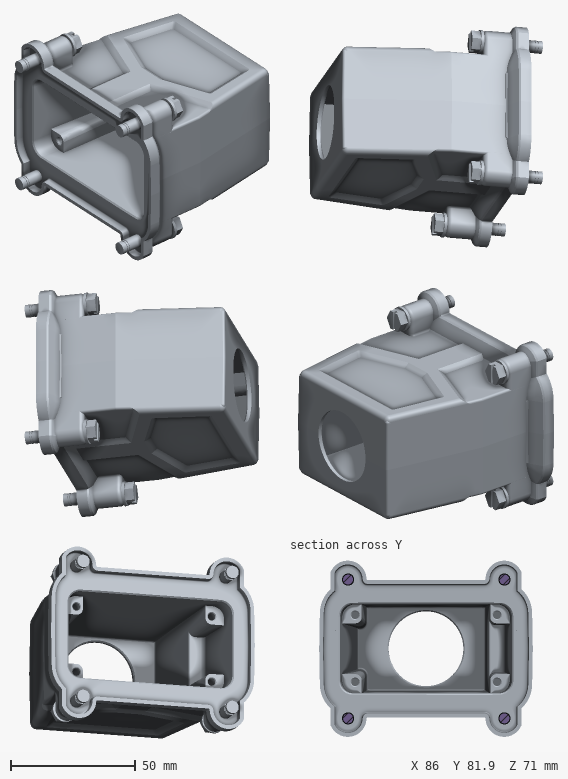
import cadquery as cq
import math


BODY_HALF_X = 36.5
BACK_HALF_X = 28.6
BACK_Y = 75.0
SHOULDER_Y = 31.5
BODY_START_Y = 5.2
RAISED_Z = 23.1
LOWERED_Z = 21.5
DRAFT = 1.0
RAISED_FILLET = 2.2
LOWERED_FILLET = 1.0
BEVEL = 2.6
BEVEL_ANGLE = math.degrees(math.atan(BEVEL / (RAISED_Z - LOWERED_Z)))
PANEL_SLOPE = math.radians(20.8)

STEM_HALF_X = 6.0
STEM_TOP_Y = 30.4
REGION_HALF_X = 47.3
REGION_BACK_Y = 86.0

PANEL_BACK_Y = 68.1
PANEL_BACK_HALF_X = 23.7
PANEL_SHOULDER_Y = 44.2
PANEL_SHOULDER_HALF_X = 27.5
PANEL_FRONT_Y = 35.7
PANEL_FRONT_HALF_X = 5.9
PANEL_CORNER = 2.1

FLANGE_HALF_X = 43.0
FLANGE_SIDE_X = 42.75
FLANGE_HALF_Z = 27.6
FLANGE_CORNER = 13.4
FLANGE_SIDE_Y = 4.4
FLANGE_BEVEL_H = 0.8
FLANGE_BEVEL_ANGLE = 30.0
FLANGE_SLOPE = 30.0
FLANGE_TOP_Y = 8.95
ROOT_BEVEL_W = 0.5
ROOT_BEVEL_H = 1.0
ROOT_BEVEL_Y = 8.1
LOBE_R = 7.53
LOBE_SIDE_X = 38.4
RIM = 1.55
RECESS_Y = 3.0
RECESS_DRAFT = 5.0
RECESS_FILLET = 0.4
NECK_FILLET = 0.6

SCREW_X = 31.5
SCREW_Z = 27.95
TOWER_R = 5.0
TOWER_Y = 18.0
TOWER_FILLET = 1.9
TOWER_ROOT = 0.95
WASHER_R = 5.0
WASHER_T = 1.1
HEAD_FLATS = 7.9
HEAD_H = 3.6
SLOT_W = 1.4
SLOT_DEPTH = 1.55
SHANK_R = 2.6
SHANK_END_Y = -6.9
GROOVE_YS = [-3.8, -4.8]
GROOVE_W = 0.4
GROOVE_DEPTH = 0.3

CAVITY_FLOOR_Y = 72.85
CAVITY_MOUTH_X = 34.7
CAVITY_FLOOR_X = 27.5
CAVITY_MOUTH_Z = 18.0
CAVITY_FLOOR_Z = 16.95
CAVITY_CORNER = 5.2
CAVITY_FLOOR_FILLET = 0.7
MOUTH_CHAMFER = 0.5
HOLE_R = 15.05
HOLE_CHAMFER = 0.5

POST_Y = 11.7
POST_TOP_X = 25.9
POST_FLOOR_X = 23.9
POST_TOP_Z = 10.2
POST_FLOOR_Z = 8.25
POST_FILLET = 2.6
POST_HOLE_X = 28.55
POST_HOLE_Z = 13.5
POST_HOLE_R = 1.55
POST_HOLE_CHAMFER = 0.35
POST_HOLE_DEPTH = 12.0
SHELF_Y = 31.8
SHELF_ROOT_FILLET = 1.9
SHELF_EDGE_FILLET = 0.9


def facing_back(y):
    """Workplane at height y whose normal is +Y; its local y axis is -Z."""
    return cq.Workplane(cq.Plane(origin=(0, y, 0), xDir=(1, 0, 0), normal=(0, 1, 0)))


def mirrored_z(solid):
    return solid.union(solid.mirror("XY"))


def at_quadrants(solid):
    """Copies a solid built at +X, +Z to all four quadrants."""
    both = solid.union(solid.mirror("YZ"))
    return both.union(both.mirror("XY"))


def body_outline():
    right = [(BODY_HALF_X, BODY_START_Y), (BODY_HALF_X, SHOULDER_Y), (BACK_HALF_X, BACK_Y)]
    left = [(-x, y) for x, y in reversed(right)]
    return right + left


def body_half(height, fillet):
    half = cq.Workplane("XY").polyline(body_outline()).close().extrude(height, taper=DRAFT)
    corners = half.edges(cq.selectors.BoxSelector(
        (-BODY_HALF_X, BACK_Y - 2.6, 0.9), (BODY_HALF_X, BACK_Y + 0.9, height - 0.9)))
    rims = half.faces(">Z").edges("not <Y")
    return half.newObject(corners.vals() + rims.vals()).fillet(fillet)


def raised_region():
    arm_y = STEM_TOP_Y + (REGION_HALF_X - STEM_HALF_X) * math.tan(PANEL_SLOPE)
    right = [(STEM_HALF_X, -BEVEL), (STEM_HALF_X, STEM_TOP_Y), (REGION_HALF_X, arm_y),
             (REGION_HALF_X, REGION_BACK_Y)]
    left = [(-x, y) for x, y in reversed(right)]
    depth = RAISED_Z - LOWERED_Z
    return (cq.Workplane("XY", origin=(0, 0, RAISED_Z)).polyline(right + left).close()
            .extrude(-2 * depth, taper=-BEVEL_ANGLE))


def sunk_panel():
    right = [(PANEL_FRONT_HALF_X, PANEL_FRONT_Y), (PANEL_SHOULDER_HALF_X, PANEL_SHOULDER_Y),
             (PANEL_BACK_HALF_X, PANEL_BACK_Y)]
    left = [(-x, y) for x, y in reversed(right)]
    pocket = (cq.Workplane("XY", origin=(0, 0, RAISED_Z)).polyline(right + left).close()
              .extrude(LOWERED_Z - RAISED_Z, taper=BEVEL_ANGLE))
    outer_corners = pocket.edges("not #Z").filter(lambda e: abs(e.Center().x) > 2 * PANEL_FRONT_HALF_X)
    return outer_corners.fillet(PANEL_CORNER)


def body():
    raised = body_half(RAISED_Z, RAISED_FILLET).intersect(raised_region()).cut(sunk_panel())
    lowered = body_half(LOWERED_Z, LOWERED_FILLET)
    return mirrored_z(lowered.union(raised).cut(sunk_panel()))


def plate_outline(y, inset=0.0):
    end_x = FLANGE_HALF_X - inset
    side_x = FLANGE_SIDE_X - inset
    half_z = FLANGE_HALF_Z - inset
    side_z = FLANGE_HALF_Z - FLANGE_CORNER
    top_x = FLANGE_SIDE_X - FLANGE_CORNER
    diagonal = (FLANGE_CORNER - inset) * math.sqrt(0.5)
    mid_x = top_x + diagonal
    mid_z = side_z + diagonal
    return (facing_back(y).moveTo(end_x, 0).lineTo(side_x, side_z)
            .threePointArc((mid_x, mid_z), (top_x, half_z))
            .lineTo(-top_x, half_z)
            .threePointArc((-mid_x, mid_z), (-side_x, side_z))
            .lineTo(-end_x, 0).lineTo(-side_x, -side_z)
            .threePointArc((-mid_x, -mid_z), (-top_x, -half_z))
            .lineTo(top_x, -half_z)
            .threePointArc((mid_x, -mid_z), (side_x, -side_z)).close())


def lobe_outline(y, inset=0.0):
    """Outline around the +X, +Z screw."""
    radius = LOBE_R - inset
    side_x = LOBE_SIDE_X - inset
    inner_x = SCREW_X - radius
    root_z = FLANGE_HALF_Z - FLANGE_CORNER
    side_z = SCREW_Z + math.sqrt(radius**2 - (side_x - SCREW_X)**2)
    return (facing_back(y).moveTo(side_x, -root_z).lineTo(side_x, -side_z)
            .threePointArc((SCREW_X, -SCREW_Z - radius), (inner_x, -SCREW_Z))
            .lineTo(inner_x, -root_z).close())


def is_neck(edge, z):
    """True for an edge along Y where a lobe meets the long side of the flange at height z."""
    centre = edge.Center()
    return abs(abs(centre.z) - z) < 0.4 and abs(centre.x) < SCREW_X - LOBE_R + 2.6


def sloped_roof(outline):
    """Narrow bevel along the edge of an outline, then a roof rising towards the hood."""
    bevel_inset = FLANGE_BEVEL_H * math.tan(math.radians(FLANGE_BEVEL_ANGLE))
    roof_y = FLANGE_SIDE_Y + FLANGE_BEVEL_H
    bevel = outline(FLANGE_SIDE_Y).extrude(FLANGE_BEVEL_H, taper=FLANGE_BEVEL_ANGLE)
    roof = outline(roof_y, bevel_inset).extrude(FLANGE_TOP_Y - roof_y, taper=90 - FLANGE_SLOPE)
    return bevel.union(roof)


def flange():
    lobes = at_quadrants(lobe_outline(0).extrude(FLANGE_SIDE_Y))
    base = plate_outline(0).extrude(FLANGE_SIDE_Y).union(lobes)
    necks = base.edges("|Y").filter(lambda e: is_neck(e, FLANGE_HALF_Z))
    base = necks.fillet(NECK_FILLET)
    return base.union(sloped_roof(plate_outline)).union(at_quadrants(sloped_roof(lobe_outline)))


def recess():
    plate = plate_outline(0, RIM).extrude(RECESS_Y, taper=RECESS_DRAFT)
    lobe = lobe_outline(0, RIM).extrude(RECESS_Y, taper=RECESS_DRAFT)
    pocket = plate.union(at_quadrants(lobe))
    necks = pocket.edges("not #Y").filter(lambda e: is_neck(e, FLANGE_HALF_Z - RIM))
    pocket = necks.fillet(NECK_FILLET + RIM)
    return pocket.faces(">Y").edges().fillet(RECESS_FILLET)


def drafted_side_x(z):
    """Half width of the hood at height z above its middle plane."""
    return BODY_HALF_X - z * math.tan(math.radians(DRAFT))


def tower():
    inner_x = SCREW_X - TOWER_R
    foot_z = LOWERED_Z - TOWER_ROOT
    foot_x = drafted_side_x(foot_z)
    bend = TOWER_ROOT * (1 - math.sqrt(0.5))
    post = (facing_back(BODY_START_Y).moveTo(foot_x, -foot_z).lineTo(drafted_side_x(SCREW_Z), -SCREW_Z)
            .threePointArc((SCREW_X, -SCREW_Z - TOWER_R), (inner_x, -SCREW_Z))
            .lineTo(inner_x, -LOWERED_Z - TOWER_ROOT)
            .threePointArc((inner_x - bend, -LOWERED_Z - bend), (inner_x - TOWER_ROOT, -LOWERED_Z))
            .lineTo(inner_x - TOWER_ROOT, -foot_z).close()
            .extrude(TOWER_Y - BODY_START_Y))
    return post.faces(">Y").edges("not <Z").edges("not <X").fillet(TOWER_FILLET)


def screw():
    head_y = TOWER_Y + WASHER_T
    top_y = head_y + HEAD_H
    corners = HEAD_FLATS / math.cos(math.pi / 6)
    shank = facing_back(SHANK_END_Y).circle(SHANK_R).extrude(TOWER_Y - SHANK_END_Y)
    for y in GROOVE_YS:
        ring = facing_back(y - GROOVE_W / 2).circle(SHANK_R).circle(SHANK_R - GROOVE_DEPTH)
        shank = shank.cut(ring.extrude(GROOVE_W))
    washer = facing_back(TOWER_Y).circle(WASHER_R).extrude(WASHER_T)
    head = facing_back(head_y).polygon(6, corners).extrude(HEAD_H)
    slot = facing_back(top_y - SLOT_DEPTH).rect(SLOT_W, 2 * corners).extrude(SLOT_DEPTH)
    return shank.union(washer).union(head.cut(slot)).translate((SCREW_X, 0, SCREW_Z))


def tapered_block(y, x_range, z_range, floor_x_range, floor_z_range):
    """Block between a rectangle at height y and another one at the cavity floor."""
    def rectangle(height, xs, zs):
        corners = [(xs[0], height, zs[0]), (xs[1], height, zs[0]),
                   (xs[1], height, zs[1]), (xs[0], height, zs[1])]
        return cq.Wire.makePolygon([cq.Vector(*corner) for corner in corners], close=True)

    start = rectangle(y, x_range, z_range)
    end = rectangle(CAVITY_FLOOR_Y, floor_x_range, floor_z_range)
    return cq.Workplane(cq.Solid.makeLoft([start, end], True))


def corner_post():
    """Tapered post at +X, +Z; its outer sides run into the cavity walls."""
    outer_x = (POST_TOP_X, BODY_HALF_X)
    outer_z = (POST_TOP_Z, LOWERED_Z)
    post = tapered_block(POST_Y, outer_x, outer_z,
                         (POST_FLOOR_X, BODY_HALF_X), (POST_FLOOR_Z, LOWERED_Z))
    inner_edge = post.edges("not |X").edges("not |Z").edges("<Z").edges("<X")
    post = inner_edge.fillet(POST_FILLET)
    hole = (facing_back(POST_Y).center(POST_HOLE_X, -POST_HOLE_Z).circle(POST_HOLE_R)
            .extrude(POST_HOLE_DEPTH))
    return post.cut(hole).edges("%CIRCLE").edges("<Y").chamfer(POST_HOLE_CHAMFER)


def shelf():
    """Step across the +X end of the cavity, in line with the inner sides of the posts."""
    slope = (POST_TOP_X - POST_FLOOR_X) / (CAVITY_FLOOR_Y - POST_Y)
    edge_x = POST_TOP_X - slope * (SHELF_Y - POST_Y)
    width = (-POST_HOLE_Z, POST_HOLE_Z)
    step = tapered_block(SHELF_Y, (edge_x, BODY_HALF_X), width, (POST_FLOOR_X, BODY_HALF_X), width)
    return step.faces("<Y").edges("<X").fillet(SHELF_EDGE_FILLET)


def cavity():
    """Pocket that narrows towards the cable hole, less the posts and the shelf."""
    mouth_x = (-CAVITY_MOUTH_X, CAVITY_MOUTH_X)
    mouth_z = (-CAVITY_MOUTH_Z, CAVITY_MOUTH_Z)
    pocket = tapered_block(RECESS_Y, mouth_x, mouth_z, (-CAVITY_FLOOR_X, CAVITY_FLOOR_X),
                           (-CAVITY_FLOOR_Z, CAVITY_FLOOR_Z))
    pocket = pocket.edges("not |X").edges("not |Z").fillet(CAVITY_CORNER)
    pocket = pocket.cut(shelf())
    wall_x = CAVITY_FLOOR_X + CAVITY_CORNER / 2
    step_root = pocket.edges().filter(lambda e: e.Center().x > wall_x and abs(e.Center().y - SHELF_Y) < 0.1)
    pocket = step_root.fillet(SHELF_ROOT_FILLET).cut(at_quadrants(corner_post()))
    return pocket.faces(">Y").edges().fillet(CAVITY_FLOOR_FILLET)


def cable_hole():
    hole = facing_back(CAVITY_FLOOR_Y).circle(HOLE_R).extrude(BACK_Y - CAVITY_FLOOR_Y)
    rim = (facing_back(CAVITY_FLOOR_Y).circle(HOLE_R + HOLE_CHAMFER)
           .extrude(HOLE_CHAMFER, taper=45))
    return hole.union(rim)


def root_bevel():
    """Sloped bands along the foot of the body, where it rises out of the flange roof."""
    flare = 2 * ROOT_BEVEL_W
    angle = math.degrees(math.atan(ROOT_BEVEL_W / ROOT_BEVEL_H))
    end_width = 2 * (FLANGE_HALF_Z - FLANGE_CORNER)
    ends = facing_back(ROOT_BEVEL_Y).rect(2 * BODY_HALF_X + flare, end_width)
    sides = facing_back(ROOT_BEVEL_Y).rect(2 * SCREW_X, 2 * LOWERED_Z + flare)
    return ends.extrude(ROOT_BEVEL_H, taper=angle).union(sides.extrude(ROOT_BEVEL_H, taper=angle))


def is_mouth(edge):
    """True for an edge between the recess floor and the cavity wall."""
    centre = edge.Center()
    on_floor = abs(centre.y - RECESS_Y) < 0.01
    return on_floor and abs(centre.x) < CAVITY_MOUTH_X + 0.1 and abs(centre.z) < CAVITY_MOUTH_Z + 0.1


hood = flange().union(body()).union(root_bevel()).union(at_quadrants(tower()))
hood = hood.cut(recess()).cut(cavity())
hood = hood.edges().filter(is_mouth).chamfer(MOUTH_CHAMFER)
hood = hood.cut(cable_hole())
result = hood.union(at_quadrants(screw()))